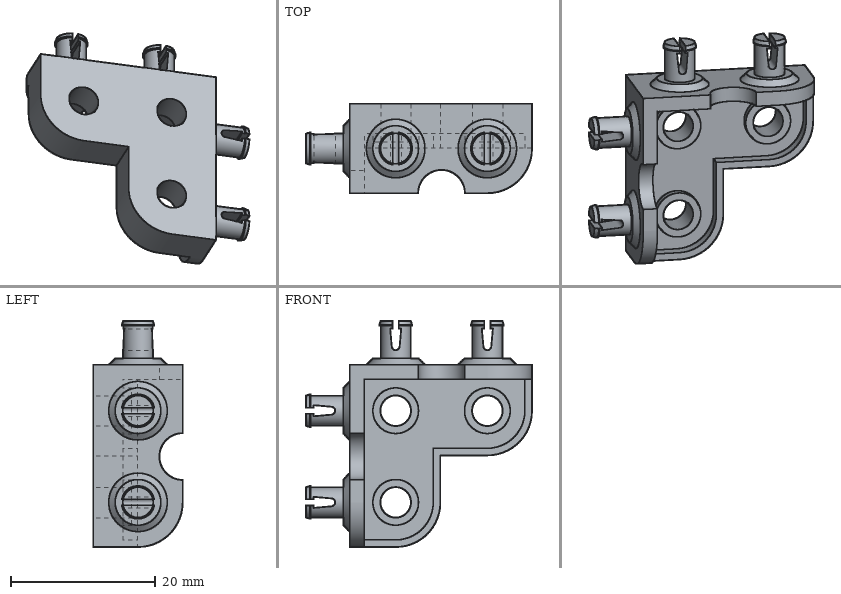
import cadquery as cq


total_length = 31.4
depth = 12.43
pitch = 12.7
end_radius = depth / 2
first_center = 6.4
second_center = first_center + pitch
body_length = second_center + end_radius
arm_width = first_center + end_radius

wall_thickness = 2.0
rim_width = 1.0
rim_front = 6.35
floor_front = 8.35
boss_height = 1.2
boss_diameter = 6.35
hole_diameter = 4.2
hole_centers = [
    (first_center, -first_center),
    (second_center, -first_center),
    (first_center, -second_center),
]

notch_radius = 3.23
notch_center = (first_center + second_center) / 2

peg_length = total_length - body_length
collar_height = 0.85
collar_base_diameter = 8.13
collar_top_diameter = 6.35
peg_diameter = 4.2
lip_diameter = 4.58
lip_height = 0.7
lip_edge = 0.13
slot_width = 0.82
slot_depth = 1.07
relief_top_width = 1.5
relief_bottom_width = 1.07
relief_depth = 4.05


def plate_outline(inset, start):
    """L-shaped outline, moved in by `inset` along its free edges; walls meet it at `start`."""
    end = body_length - inset
    arm = arm_width - inset
    radius = end_radius - inset
    return (
        cq.Workplane("XZ")
        .moveTo(start, -start)
        .lineTo(end, -start)
        .lineTo(end, -first_center)
        .radiusArc((second_center, -arm), radius)
        .lineTo(arm, -arm)
        .lineTo(arm, -second_center)
        .radiusArc((first_center, -end), radius)
        .lineTo(start, -end)
        .close()
    )


def slab(outline, front, back):
    """Extrude an XZ outline between two Y positions."""
    return outline.extrude(-(back - front)).translate((0, front, 0))


def base_plate():
    plate = slab(plate_outline(0, 0), rim_front, depth)
    pocket = slab(plate_outline(rim_width, wall_thickness), rim_front, floor_front)
    plate = plate.cut(pocket)
    for x, z in hole_centers:
        boss = cq.Workplane("XZ").center(x, z).circle(boss_diameter / 2)
        plate = plate.union(slab(boss, floor_front - boss_height, depth))
    return plate


def top_wall():
    wall = (
        cq.Workplane("XY")
        .lineTo(second_center, 0)
        .radiusArc((body_length, end_radius), -end_radius)
        .lineTo(body_length, depth)
        .lineTo(0, depth)
        .close()
        .extrude(-wall_thickness)
    )
    notch = cq.Workplane("XY").center(notch_center, 0).circle(notch_radius).extrude(-wall_thickness)
    return wall.cut(notch)


def peg():
    """Split snap peg on a conical collar, standing on the origin along +Z."""
    lip_start = peg_length - lip_height
    body = (
        cq.Workplane("XZ")
        .lineTo(collar_base_diameter / 2, 0)
        .lineTo(collar_top_diameter / 2, collar_height)
        .lineTo(peg_diameter / 2, collar_height)
        .lineTo(peg_diameter / 2, lip_start)
        .lineTo(lip_diameter / 2, lip_start)
        .lineTo(lip_diameter / 2, lip_start + lip_edge)
        .lineTo(peg_diameter / 2, peg_length)
        .lineTo(0, peg_length)
        .close()
        .revolve(360, (0, 0, 0), (0, 1, 0))
    )
    slot_floor = peg_length - slot_depth
    relief_floor = peg_length - relief_depth
    round_radius = relief_bottom_width / 2
    relief = (
        cq.Workplane("XZ")
        .moveTo(-slot_width / 2, peg_length)
        .lineTo(-slot_width / 2, slot_floor)
        .lineTo(-relief_top_width / 2, slot_floor)
        .lineTo(-round_radius, relief_floor + round_radius)
        .threePointArc((0, relief_floor), (round_radius, relief_floor + round_radius))
        .lineTo(relief_top_width / 2, slot_floor)
        .lineTo(slot_width / 2, slot_floor)
        .lineTo(slot_width / 2, peg_length)
        .close()
        .extrude(lip_diameter / 2, both=True)
    )
    return body.cut(relief)


def top_side():
    """Top wall with its two pegs."""
    side = top_wall()
    for x in (first_center, second_center):
        side = side.union(peg().translate((x, depth / 2, 0)))
    return side


def left_side():
    """The top side turned over the outer corner: X becomes -Z and Z becomes -X."""
    return top_side().mirror("YZ").rotate((0, 0, 0), (0, 1, 0), -90)


result = base_plate().union(top_side()).union(left_side())
for x, z in hole_centers:
    hole = cq.Workplane("XZ").center(x, z).circle(hole_diameter / 2)
    result = result.cut(slab(hole, 0, depth))